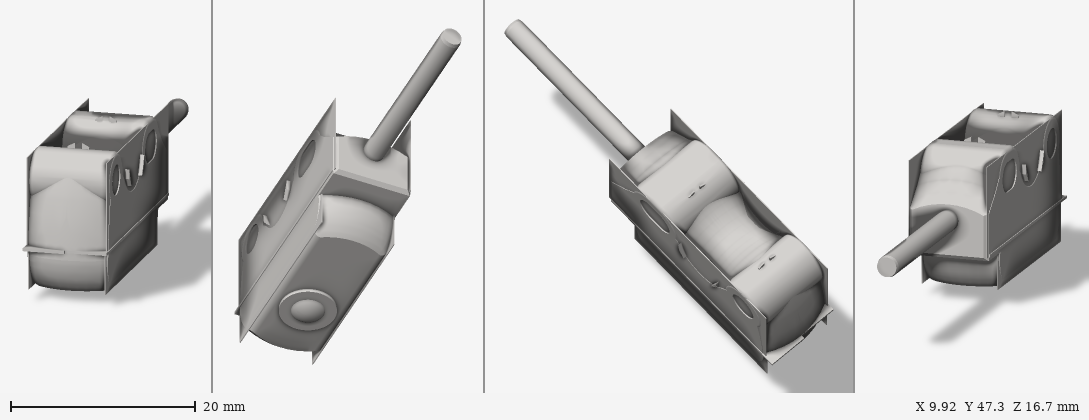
import cadquery as cq
import math


eye_radius = 3.1
eye_fillet = 0.5
hole_diameter = 3.35
slot_centre_y = 14.3
slot_length = 4.8
slot_half_travel = (slot_length - hole_diameter) / 2

half_width = 4.55
crown_radius = 9.2
front_y = -4.4
rear_y = 21.77
lower_rear_y = 18.6
bottom_z = -12.1
step_z = -7.79
step_chamfer = 0.42
rear_corner_chamfer = 0.47
bottom_corner = 3.9
bottom_corner_setback = 2.0
front_top_y = -2.9
front_top_z = 1.07
front_mid_y = -3.85
front_mid_z = -2.5
low_limit_z = -4.0
end_clearance = 1.0

valley_y = 6.95
valley_floor_z = 0.3
valley_crown_radius = 5.0
valley_flare_inner_x = 3.2
valley_flare_inner_z = -1.0
valley_flare_radius = 1.9
valley_flare_outer_z = -3.0
valley_front_crest = (1.97, 2.35)
valley_rear_crest = (12.07, 2.7)
slope_start = (17.7, 1.56)
slope_break = (19.0, 0.3)
slope_end_z = -1.7

seam_top_z = -7.07
seam_bottom_z = -7.36
lower_half_width = 4.35
lower_edge_radius = 0.9

sheet_thickness = 0.1
sheet_outer_x = 4.5
sheet_top_z = 2.82
sheet_front_y = -3.68
sheet_bottom_z = -11.95
sheet_lower_rear_y = 17.77
rib_outer_x = 4.65
rib_rear_y = 21.3
lip_front_y = -4.84

ear_outer_x = 9.92 / 2
ear_half_spread = 3.1
ear_top_z = 0.2
ear_bottom_z = -1.9
ear_lean = 0.9
ear_thickness = 0.75
fin_tip_z = 3.5
fin_tip_x = 0.4
fin_outer_x = 1.2
fin_thickness = 0.15
fin_y = (1.2, 12.55)
fin_base_z = 2.5
knob_y = 4.6
knob_radius = 3.15
knob_bottom_z = -12.5
dome_radius = 1.85
dome_bottom_z = -13.25

cable_diameter = 2.4
cable_z = -3.49
cable_end_y = lip_front_y + 47.35
cable_chamfer_length = 0.45
cable_chamfer_depth = 0.1


def slab(x_range, y_range, z_range):
    """Box given by its limits along each axis."""
    size = [high - low for low, high in (x_range, y_range, z_range)]
    corner = (x_range[0], y_range[0], z_range[0])
    return cq.Workplane("XY").box(*size, centered=False).translate(corner)


def side_prism(outline, inner_x, outer_x):
    """Extrude a YZ outline between two X positions."""
    return outline.extrude(outer_x - inner_x).translate((inner_x, 0, 0))


def make_front_end():
    """Front end with a rounded nose, revolved about a vertical axis."""
    axis_y = front_y + crown_radius
    return (
        cq.Workplane("YZ")
        .moveTo(axis_y, bottom_z)
        .lineTo(front_y + bottom_corner_setback, bottom_z)
        .threePointArc(
            (front_y + bottom_corner_setback / 4, bottom_z + bottom_corner / 2),
            (front_y, bottom_z + bottom_corner),
        )
        .lineTo(front_y, seam_top_z)
        .threePointArc((front_mid_y, front_mid_z), (front_top_y, front_top_z))
        .lineTo(front_top_y, eye_radius)
        .lineTo(axis_y, eye_radius)
        .close()
        .revolve(360, (axis_y, 0, 0), (axis_y, 1, 0))
    )


def make_lower_rear_end():
    """Rounded rear end below the overhang, revolved about a vertical axis."""
    axis_y = lower_rear_y - crown_radius
    return (
        cq.Workplane("YZ")
        .moveTo(axis_y, bottom_z)
        .lineTo(lower_rear_y - bottom_corner_setback, bottom_z)
        .threePointArc(
            (lower_rear_y - bottom_corner_setback / 4, bottom_z + bottom_corner / 2),
            (lower_rear_y, bottom_z + bottom_corner),
        )
        .lineTo(lower_rear_y, step_z)
        .lineTo(axis_y, step_z)
        .close()
        .revolve(360, (axis_y, 0, 0), (axis_y, 1, 0))
    )


def make_saddle():
    """Everything below the saddle between the eyes: its lengthwise arc turned about a Y axis."""
    axis_z = valley_floor_z - valley_crown_radius
    far_front_y = front_y - end_clearance
    return (
        cq.Workplane("YZ")
        .moveTo(far_front_y, axis_z)
        .lineTo(far_front_y, front_top_z)
        .lineTo(front_top_y, front_top_z)
        .lineTo(*valley_front_crest)
        .threePointArc((valley_y, valley_floor_z), valley_rear_crest)
        .lineTo(slot_centre_y, valley_rear_crest[1])
        .lineTo(slot_centre_y, axis_z)
        .close()
        .revolve(360, (0, axis_z, 0), (1, axis_z, 0))
    )


def make_rear_slope():
    """Everything below the crowned slope behind the slotted eye, turned about a long Y axis."""
    axis_z = slope_end_z - crown_radius
    return (
        cq.Workplane("YZ")
        .moveTo(slot_centre_y, axis_z)
        .lineTo(slot_centre_y, slope_start[1])
        .lineTo(*slope_start)
        .lineTo(*slope_break)
        .lineTo(rear_y, slope_end_z)
        .lineTo(rear_y, axis_z)
        .close()
        .revolve(360, (0, axis_z, 0), (1, axis_z, 0))
    )


def make_cross_section():
    """Width limit along the whole length: straight above the seam, tapered and rounded below."""
    lower_edge_z = bottom_z + lower_edge_radius
    arc_inset = lower_edge_radius * (1 - math.sin(math.pi / 4))
    bottom_half_width = lower_half_width - lower_edge_radius
    return (
        cq.Workplane("XZ", origin=(0, rear_y, 0))
        .moveTo(-half_width, eye_radius)
        .lineTo(half_width, eye_radius)
        .lineTo(half_width, seam_bottom_z)
        .lineTo(lower_half_width, lower_edge_z)
        .threePointArc((lower_half_width - arc_inset, bottom_z + arc_inset), (bottom_half_width, bottom_z))
        .lineTo(-bottom_half_width, bottom_z)
        .threePointArc(
            (arc_inset - lower_half_width, bottom_z + arc_inset),
            (-lower_half_width, lower_edge_z),
        )
        .lineTo(-half_width, seam_bottom_z)
        .close()
        .extrude(rear_y - front_y + end_clearance)
    )


def make_valley_flare():
    """Cone that flares the saddle floor downwards towards the +X side."""
    axis_z = valley_flare_inner_z + valley_flare_radius
    return (
        cq.Workplane("XZ", origin=(0, valley_y, 0))
        .moveTo(valley_flare_inner_x, axis_z)
        .lineTo(valley_flare_inner_x, valley_flare_inner_z)
        .lineTo(half_width, valley_flare_outer_z)
        .lineTo(half_width, axis_z)
        .close()
        .revolve(360, (0, axis_z, 0), (1, axis_z, 0))
    )


def make_core():
    full_width = (-half_width, half_width)
    middle_y = (front_y + crown_radius, lower_rear_y - crown_radius)
    middle = slab(full_width, middle_y, (bottom_z, eye_radius))
    overhang = slab(full_width, (middle_y[0], rear_y), (step_z, eye_radius))
    overhang = overhang.edges("|Z and >Y").chamfer(rear_corner_chamfer)
    overhang = overhang.faces("<Z").edges(">Y").chamfer(step_chamfer)
    ends = make_front_end().union(make_lower_rear_end()).union(middle).union(overhang)
    low_slab = slab(full_width, (front_y - end_clearance, rear_y), (bottom_z, low_limit_z))
    upper_limit = low_slab.union(make_saddle()).union(make_rear_slope())
    core = ends.intersect(make_cross_section()).intersect(upper_limit)
    flare = make_valley_flare()
    return core.cut(flare).cut(flare.mirror("YZ"))


def make_eyes():
    """Round eye at the front and elongated eye behind it, both with rounded side edges."""
    round_eye = cq.Workplane("YZ").circle(eye_radius).extrude(half_width, both=True)
    slotted_eye = (
        cq.Workplane("YZ")
        .center(slot_centre_y, 0)
        .slot2D(2 * (slot_half_travel + eye_radius), 2 * eye_radius)
        .extrude(half_width, both=True)
    )
    eyes = [eye.faces("<X or >X").edges().fillet(eye_fillet) for eye in (round_eye, slotted_eye)]
    return eyes[0].union(eyes[1])


def make_side_sheet():
    """Thin stepped sheet on the +X side."""
    upper = slab(
        (sheet_outer_x - sheet_thickness, sheet_outer_x),
        (sheet_front_y, rear_y),
        (seam_bottom_z, sheet_top_z),
    )
    lower = slab(
        (lower_half_width - sheet_thickness, lower_half_width),
        (sheet_front_y, sheet_lower_rear_y),
        (sheet_bottom_z, seam_top_z),
    )
    rib = slab(
        (lower_half_width - sheet_thickness, rib_outer_x),
        (sheet_front_y, rib_rear_y),
        (seam_bottom_z, seam_top_z),
    )
    return upper.union(lower).union(rib)


def make_ear(direction):
    """Small triangular ear on the +X side, on the valley flank facing the given Y direction."""
    flank_y = valley_y + direction * ear_half_spread
    outline = (
        cq.Workplane("YZ")
        .moveTo(flank_y, ear_top_z)
        .lineTo(flank_y - direction * ear_lean, ear_bottom_z)
        .lineTo(flank_y - direction * (ear_lean - ear_thickness), ear_bottom_z / 2)
        .close()
    )
    return side_prism(outline, lower_half_width, ear_outer_x)


def make_fin(fin_centre_y):
    """Small pointed fin standing on the crest of an eye, on the +X side of the middle."""
    return (
        cq.Workplane("XZ", origin=(0, fin_centre_y + fin_thickness / 2, 0))
        .moveTo(fin_tip_x, fin_base_z)
        .lineTo(fin_tip_x, fin_tip_z)
        .lineTo(fin_outer_x, eye_radius)
        .lineTo(fin_outer_x, fin_base_z)
        .close()
        .extrude(fin_thickness)
    )


def make_lip():
    """Flat lip across the front at the seam, longer on its -X half."""
    seam = (seam_bottom_z, seam_top_z)
    back_y = front_y + crown_radius
    long_half = slab((-rib_outer_x, 0), (lip_front_y, back_y), seam)
    short_half = slab((0, rib_outer_x), (front_y, back_y), seam)
    return long_half.union(short_half)


def make_knob():
    """Flat disc with a domed centre under the housing."""
    disc = cq.Workplane("XY", origin=(0, knob_y, knob_bottom_z)).circle(knob_radius)
    disc = disc.extrude(bottom_z - knob_bottom_z)
    dome_height = knob_bottom_z - dome_bottom_z
    sphere_radius = (dome_radius**2 + dome_height**2) / (2 * dome_height)
    sphere = cq.Workplane("XY").sphere(sphere_radius).translate((0, knob_y, dome_bottom_z + sphere_radius))
    cap_limit = cq.Workplane("XY", origin=(0, knob_y, dome_bottom_z)).circle(knob_radius).extrude(dome_height)
    return disc.union(sphere.intersect(cap_limit))


def make_hole_recesses():
    """Shallow round and slotted recesses outlining the mounting holes on the +X side."""
    recess_floor_x = sheet_outer_x - sheet_thickness
    round_hole = cq.Workplane("YZ").circle(hole_diameter / 2)
    slot_hole = cq.Workplane("YZ").center(slot_centre_y, 0).slot2D(slot_length, hole_diameter)
    recesses = [side_prism(hole, recess_floor_x, rib_outer_x) for hole in (round_hole, slot_hole)]
    return recesses[0].union(recesses[1])


def make_housing():
    housing = make_core().union(make_eyes()).union(make_lip()).union(make_knob())
    side_details = [make_side_sheet()]
    side_details += [make_ear(direction) for direction in (-1, 1)]
    side_details += [make_fin(y) for y in fin_y]
    for detail in side_details:
        housing = housing.union(detail).union(detail.mirror("YZ"))
    recesses = make_hole_recesses()
    return housing.cut(recesses).cut(recesses.mirror("YZ"))


def make_cable():
    """Round cable butting against the rear face, with a slightly tapered free end."""
    radius = cable_diameter / 2
    return (
        cq.Workplane("XY")
        .moveTo(0, rear_y)
        .lineTo(radius, rear_y)
        .lineTo(radius, cable_end_y - cable_chamfer_length)
        .lineTo(radius - cable_chamfer_depth, cable_end_y)
        .lineTo(0, cable_end_y)
        .close()
        .revolve(360, (0, 0, 0), (0, 1, 0))
        .translate((0, 0, cable_z))
    )


housing = make_housing()
cable = make_cable()
result = cq.Compound.makeCompound([housing.solids().val(), cable.val()])